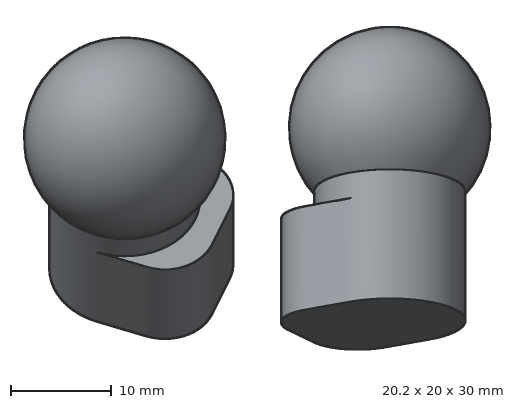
import cadquery as cq

total_height = 30.0
ball_diameter = total_height * 2 / 3
stem_diameter = 15.0

lug_reach = 10.23
lug_height = 10.75
lug_corner_radius = 5.0

ball_radius = ball_diameter / 2
ball_centre_height = total_height - ball_radius


def make_ball():
    return cq.Workplane("XY").sphere(ball_radius).translate((0, 0, ball_centre_height))


def make_stem():
    return cq.Workplane("XY").circle(stem_diameter / 2).extrude(ball_centre_height)


def make_lug():
    return (
        cq.Workplane("XY")
        .box(lug_reach, stem_diameter, lug_height, centered=(False, True, False))
        .edges("|Z and >X")
        .fillet(lug_corner_radius)
    )


result = make_stem().union(make_lug()).union(make_ball())